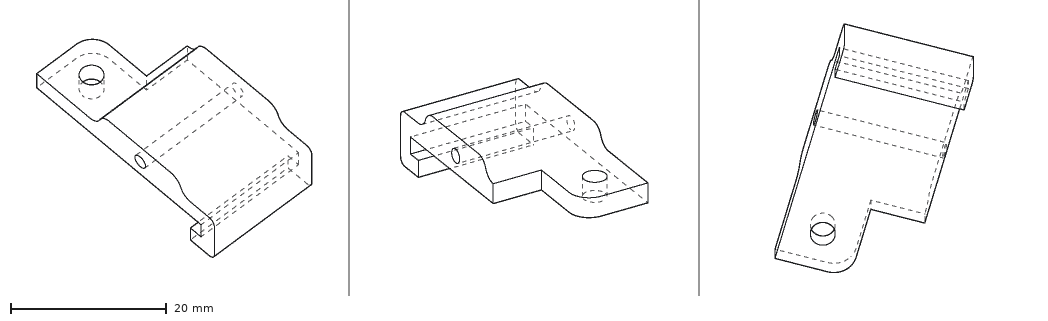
import cadquery as cq
import math

length = 33.3
width = 17.2
height = 10.6

plate_thickness = 2.93
hook_gap = 2.5
lip_thickness = 2.5
lip_length = 4.5
hook_wall = 2.5
hook_corner_radius = 1.0
plate_bottom = lip_thickness + hook_gap
plate_top = plate_bottom + plate_thickness

crest_center = 19.4
crest_flat_length = 11.42
flank_radius = 2.0
flank_rise = height - plate_top
flank_run = 2 * math.sqrt(flank_rise * flank_radius - (flank_rise / 2) ** 2)
cross_hole_diameter = 2.0
cross_hole_height = 7.55

tab_length = 9.95
tab_width = 10.02
tab_corner_radius = 3.0
tab_hole_diameter = 3.2
tab_hole_offset = 5.0


def make_body():
    """Side profile extruded across the full width, with the hook corners rounded."""
    flat_left = crest_center - crest_flat_length / 2
    flat_right = crest_center + crest_flat_length / 2
    middle_height = (plate_top + height) / 2
    profile = (
        cq.Workplane("XZ")
        .moveTo(0, plate_bottom)
        .lineTo(0, plate_top)
        .lineTo(flat_left - flank_run, plate_top)
        .tangentArcPoint((flat_left - flank_run / 2, middle_height), relative=False)
        .tangentArcPoint((flat_left, height), relative=False)
        .lineTo(flat_right, height)
        .tangentArcPoint((flat_right + flank_run / 2, middle_height), relative=False)
        .tangentArcPoint((flat_right + flank_run, plate_top), relative=False)
        .lineTo(length, plate_top)
        .lineTo(length, 0)
        .lineTo(length - lip_length, 0)
        .lineTo(length - lip_length, lip_thickness)
        .lineTo(length - hook_wall, lip_thickness)
        .lineTo(length - hook_wall, plate_bottom)
        .close()
    )
    body = profile.extrude(-width)
    return body.faces(">X").edges("|Y").fillet(hook_corner_radius)


def make_footprint():
    """Plan outline: the full-width body plus the narrower tab with one rounded corner."""
    body_area = cq.Workplane("XY").box(length - tab_length, width, height, centered=False)
    body_area = body_area.translate((tab_length, 0, 0))
    tab_area = cq.Workplane("XY").box(length, tab_width, height, centered=False)
    tab_area = tab_area.edges("|Z and <X and >Y").fillet(tab_corner_radius)
    return body_area.union(tab_area)


def make_cross_hole():
    """Hole along Y through the crest."""
    axis = cq.Workplane("XZ").center(crest_center, cross_hole_height)
    return axis.circle(cross_hole_diameter / 2).extrude(-width)


def make_tab_hole():
    """Vertical screw hole through the tab."""
    axis = cq.Workplane("XY").center(tab_hole_offset, tab_hole_offset)
    return axis.circle(tab_hole_diameter / 2).extrude(height)


result = make_body().intersect(make_footprint()).cut(make_cross_hole()).cut(make_tab_hole())